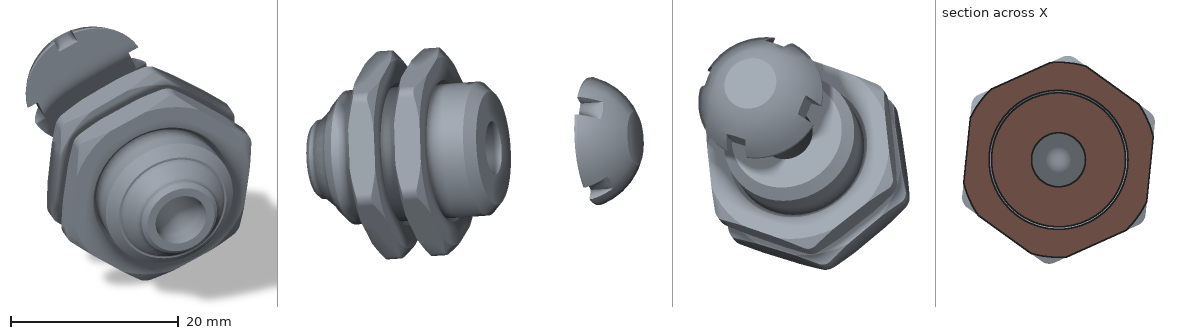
import cadquery as cq
import math

TOTAL_LENGTH = 39.9

CAP_LENGTH = 5.23
CAP_RIM_LENGTH = 0.3
DOME_RADIUS = 8.0
CAP_FLAT_RADIUS = 3.2
SLOT_COUNT = 4
SLOT_WIDTH = 2.5
SLOT_FLOOR_RADIUS = 6.2
SLOT_ANGLE = 22.5

BARREL_START = 17.8
BARREL_RADIUS = 8.0
BARREL_CHAMFER = 1.25
BORE_RADIUS = 3.2

CONE_START = 36.8
CONE_START_RADIUS = 6.5
NECK_START = 38.85
NECK_RADIUS = 4.75
NECK_CHAMFER = 0.5

NUT_WIDTH = 3.2
NUT_ACROSS_FLATS = 21.98
NUT_CORNER_RADIUS = 1.5
NUT_FACE_RADIUS = 11.25
NUT_CHAMFER_ANGLE = 30.0
COUNTERSINK_RADIUS = 8.5
FRONT_NUT_START = 23.45
REAR_NUT_START = 29.2
FRONT_NUT_ANGLE = -5.8
REAR_NUT_ANGLE = -7.7


def revolve_about_x(profile):
    """Turn a closed profile in the XY plane (X along the axis, Y the radius) about X."""
    return profile.close().revolve(360, (0, 0, 0), (1, 0, 0))


def turn_about_x(shape, angle):
    return shape.rotate((0, 0, 0), (1, 0, 0), angle)


def make_cap():
    dome_center = math.sqrt(DOME_RADIUS**2 - CAP_FLAT_RADIUS**2)

    def dome_radius_at(x):
        return math.sqrt(DOME_RADIUS**2 - (dome_center - x)**2)

    rim_start = CAP_LENGTH - CAP_RIM_LENGTH
    rim_radius = dome_radius_at(rim_start)
    dome_middle = rim_start / 2
    cap = revolve_about_x(
        cq.Workplane("XY")
        .lineTo(0, CAP_FLAT_RADIUS)
        .threePointArc((dome_middle, dome_radius_at(dome_middle)), (rim_start, rim_radius))
        .lineTo(CAP_LENGTH, rim_radius)
        .lineTo(CAP_LENGTH, 0)
    )

    slot = cq.Workplane("XY").box(CAP_LENGTH, SLOT_WIDTH, DOME_RADIUS, centered=(False, True, False))
    slot = slot.translate((0, 0, SLOT_FLOOR_RADIUS))
    for index in range(SLOT_COUNT):
        cap = cap.cut(turn_about_x(slot, SLOT_ANGLE + index * 360 / SLOT_COUNT))
    return cap


def make_nut(start, angle):
    """Solid hexagon with chamfered corners and a countersink in both faces."""
    corner_diameter = NUT_ACROSS_FLATS / math.cos(math.pi / 6)
    hexagon = (
        cq.Workplane("YZ")
        .polygon(6, corner_diameter)
        .extrude(NUT_WIDTH)
        .edges("|X")
        .fillet(NUT_CORNER_RADIUS)
    )
    hexagon = turn_about_x(hexagon, 90 + angle)

    corner_radius = corner_diameter / 2
    chamfer_depth = (corner_radius - NUT_FACE_RADIUS) * math.tan(math.radians(NUT_CHAMFER_ANGLE))
    chamfer_envelope = revolve_about_x(
        cq.Workplane("XY")
        .lineTo(0, NUT_FACE_RADIUS)
        .lineTo(chamfer_depth, corner_radius)
        .lineTo(NUT_WIDTH - chamfer_depth, corner_radius)
        .lineTo(NUT_WIDTH, NUT_FACE_RADIUS)
        .lineTo(NUT_WIDTH, 0)
    )
    nut = hexagon.intersect(chamfer_envelope)

    countersink_depth = COUNTERSINK_RADIUS - BARREL_RADIUS
    for face, inward in ((0, 1), (NUT_WIDTH, -1)):
        countersink = revolve_about_x(
            cq.Workplane("XY")
            .moveTo(face, BARREL_RADIUS)
            .lineTo(face, COUNTERSINK_RADIUS)
            .lineTo(face + inward * countersink_depth, BARREL_RADIUS)
        )
        nut = nut.cut(countersink)
    return nut.translate((start, 0, 0))


def make_housing():
    chamfered_radius = BARREL_RADIUS - BARREL_CHAMFER
    barrel_and_tail = revolve_about_x(
        cq.Workplane("XY")
        .moveTo(BARREL_START, 0)
        .lineTo(BARREL_START, chamfered_radius)
        .lineTo(BARREL_START + BARREL_CHAMFER, BARREL_RADIUS)
        .lineTo(CONE_START - BARREL_CHAMFER, BARREL_RADIUS)
        .lineTo(CONE_START, chamfered_radius)
        .lineTo(CONE_START, CONE_START_RADIUS)
        .lineTo(NECK_START, NECK_RADIUS)
        .lineTo(TOTAL_LENGTH - NECK_CHAMFER, NECK_RADIUS)
        .lineTo(TOTAL_LENGTH, NECK_RADIUS - NECK_CHAMFER)
        .lineTo(TOTAL_LENGTH, 0)
    )

    housing = barrel_and_tail
    for start, angle in ((FRONT_NUT_START, FRONT_NUT_ANGLE), (REAR_NUT_START, REAR_NUT_ANGLE)):
        housing = housing.union(make_nut(start, angle))

    bore_length = TOTAL_LENGTH - BARREL_START
    bore = cq.Workplane("YZ", origin=(BARREL_START, 0, 0)).circle(BORE_RADIUS).extrude(bore_length)
    return housing.cut(bore)


cap = make_cap()
housing = make_housing()

result = cq.Compound.makeCompound([cap.solids().val(), housing.solids().val()])